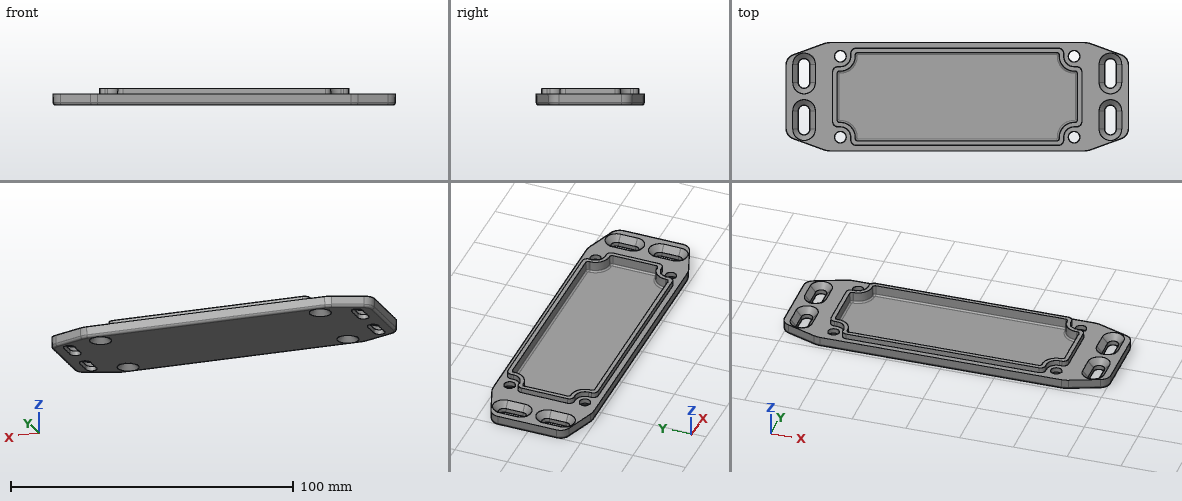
import cadquery as cq
import math

LENGTH = 121.5
WIDTH = 38.5
PLATE_THICKNESS = 4.0
SHOULDER_X = 46.2
TAPER_ANGLE = 20.0
SHOULDER_RADIUS = 7.3
END_CORNER_RADIUS = 4.0
BOTTOM_FILLET = 1.0

DRAFT_ANGLE = 2.0

TOTAL_HEIGHT = 6.0
LIP_LENGTH = 88.5
LIP_WIDTH = 34.5
LIP_WALL = 1.6
LIP_CORNER_RADIUS = 2.0
SCREW_CLEARANCE_RADIUS = 3.6

FLOOR_THICKNESS = 2.0
FLOOR_FILLET = 0.6
CAVITY_CORNER_RADIUS = 1.0

SCREW_X = 41.4
SCREW_Y = 14.3
SCREW_DIAMETER = 4.0
SCREW_COUNTERSINK_DEPTH = 2.2

SLOT_X = 54.3
SLOT_Y = 8.3
SLOT_WIDTH = 4.0
SLOT_CENTER_DISTANCE = 6.5
SLOT_COUNTERSINK_DEPTH = 2.3

COUNTERSINK_TAPER = 41.0
COUNTERSINK_SLOPE = math.tan(math.radians(COUNTERSINK_TAPER))


def four_corners(x, y):
    """Return a point mirrored into all four quadrants, in order around the part."""
    return [(x, y), (-x, y), (-x, -y), (x, -y)]


def mirror_quadrant(points, radii):
    """Continue a first-quadrant outline, with its corner radii, around all four quadrants."""
    upper = points + [(-x, y) for x, y in reversed(points)]
    around = upper + [(-x, -y) for x, y in upper]
    return around, 2 * (radii + radii[::-1])


def drafted_block(corners, radii, start, height):
    """Extrude a rounded polygon from Z = start, shrinking it by the draft angle.

    A negative height extrudes downward. Each corner has its own radius.
    """
    blank = cq.Workplane("XY").workplane(offset=start).polyline(corners).close().extrude(1.2)
    for (x, y), radius in zip(corners, radii):
        corner_edge = cq.NearestToPointSelector((x, y, start + 0.6))
        blank = blank.edges("|Z").edges(corner_edge).fillet(radius)
    outline = blank.faces("<Z").wires().toPending()
    return outline.extrude(height, combine=False, taper=DRAFT_ANGLE)


def make_plate():
    taper_run = LENGTH / 2 - SHOULDER_X
    end_half_width = WIDTH / 2 - taper_run * math.tan(math.radians(TAPER_ANGLE))
    quadrant = [
        (LENGTH / 2, end_half_width),
        (SHOULDER_X, WIDTH / 2),
    ]
    radii = [END_CORNER_RADIUS, SHOULDER_RADIUS]
    corners, radii = mirror_quadrant(quadrant, radii)
    plate = drafted_block(corners, radii, PLATE_THICKNESS, -PLATE_THICKNESS)
    return plate.faces("<Z").edges().fillet(BOTTOM_FILLET)


def notched_block(inset, corner_radius, start, height):
    """Block with the lip's outline set in by a distance, notched around the screw holes."""
    half_length = LIP_LENGTH / 2 - inset
    half_width = LIP_WIDTH / 2 - inset
    notch_radius = SCREW_CLEARANCE_RADIUS + inset
    notch_x = SCREW_X - notch_radius
    notch_y = SCREW_Y - notch_radius
    quadrant = [
        (half_length, notch_y),
        (notch_x, notch_y),
        (notch_x, half_width),
    ]
    radii = [corner_radius, notch_radius, corner_radius]
    corners, radii = mirror_quadrant(quadrant, radii)
    return drafted_block(corners, radii, start, height)


def make_lip():
    return notched_block(0, LIP_CORNER_RADIUS, PLATE_THICKNESS, TOTAL_HEIGHT - PLATE_THICKNESS)


def make_cavity():
    depth = TOTAL_HEIGHT - FLOOR_THICKNESS
    cavity = notched_block(LIP_WALL, CAVITY_CORNER_RADIUS, TOTAL_HEIGHT, -depth)
    return cavity.faces("<Z").edges().fillet(FLOOR_FILLET)


def make_screw_holes():
    """Through holes that widen to the plate's bottom face."""
    centers = cq.Workplane("XY").pushPoints(four_corners(SCREW_X, SCREW_Y))
    holes = centers.circle(SCREW_DIAMETER / 2).extrude(PLATE_THICKNESS)
    countersink_radius = SCREW_DIAMETER / 2 + SCREW_COUNTERSINK_DEPTH * COUNTERSINK_SLOPE
    countersinks = centers.circle(countersink_radius).extrude(
        SCREW_COUNTERSINK_DEPTH, taper=COUNTERSINK_TAPER
    )
    return holes.union(countersinks)


def make_slots():
    """Through slots along Y, each widening to the plate's top face."""
    centers = four_corners(SLOT_X, SLOT_Y)
    top_width = SLOT_WIDTH + 2 * SLOT_COUNTERSINK_DEPTH * COUNTERSINK_SLOPE
    slots = (
        cq.Workplane("XY")
        .pushPoints(centers)
        .slot2D(SLOT_CENTER_DISTANCE + SLOT_WIDTH, SLOT_WIDTH, 90)
        .extrude(PLATE_THICKNESS)
    )
    countersinks = (
        cq.Workplane("XY")
        .workplane(offset=PLATE_THICKNESS)
        .pushPoints(centers)
        .slot2D(SLOT_CENTER_DISTANCE + top_width, top_width, 90)
        .extrude(-SLOT_COUNTERSINK_DEPTH, taper=COUNTERSINK_TAPER)
    )
    return slots.union(countersinks)


result = make_plate().union(make_lip())
result = result.cut(make_cavity())
result = result.cut(make_screw_holes())
result = result.cut(make_slots())